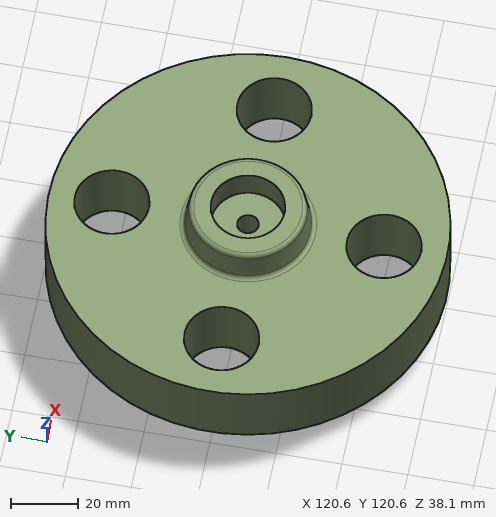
import cadquery as cq
import math

flange_diameter = 120.6
flange_thickness = 22.2

bolt_hole_count = 4
bolt_hole_diameter = 22.4
bolt_circle_diameter = 82.5

hub_height = 9.5
hub_taper = math.radians(10)
hub_top_diameter = 34.9
hub_rounding = 1.5

boss_diameter = 35.2
boss_height = 6.4

socket_diameter = 22.2
socket_depth = hub_height
bore_diameter = 6.4

hub_top = flange_thickness + hub_height
overall_height = boss_height + hub_top


def cylinder(diameter, bottom, height):
    """Upright cylinder on the Z axis."""
    return cq.Workplane("XY").workplane(offset=bottom).circle(diameter / 2).extrude(height)


def flange_with_hub():
    """Disc carrying the conical hub, with the hub's foot and top edge rounded."""
    top_radius = hub_top_diameter / 2
    foot_radius = top_radius + hub_height * math.tan(hub_taper)
    profile = [
        (0, 0),
        (flange_diameter / 2, 0),
        (flange_diameter / 2, flange_thickness),
        (foot_radius, flange_thickness),
        (top_radius, hub_top),
        (0, hub_top),
    ]
    body = cq.Workplane("XZ").polyline(profile).close().revolve(360, (0, 0), (0, 1))
    hub_edges = body.edges(cq.selectors.RadiusNthSelector(0)).add(
        body.edges(cq.selectors.RadiusNthSelector(1))
    )
    return hub_edges.fillet(hub_rounding)


def bolt_holes():
    """Cutters for the bolt holes, the first on the X axis."""
    return (
        cq.Workplane("XY")
        .polarArray(bolt_circle_diameter / 2, 0, 360, bolt_hole_count)
        .circle(bolt_hole_diameter / 2)
        .extrude(flange_thickness)
    )


boss = cylinder(boss_diameter, -boss_height, boss_height)
socket = cylinder(socket_diameter, hub_top - socket_depth, socket_depth)
bore = cylinder(bore_diameter, -boss_height, overall_height)

result = flange_with_hub().union(boss).cut(bolt_holes()).cut(socket).cut(bore)